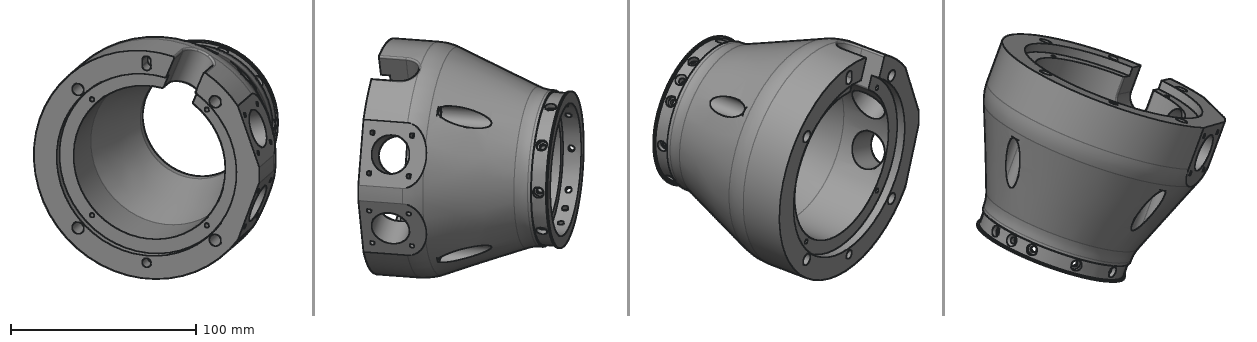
import cadquery as cq
import math

length = 100.0
base_radius = 64.0
cylinder_length = 30.0
neck_radius = 42.5
neck_start = 85.0
base_blend_radius = 30.0
neck_blend_radius = 20.0

groove_radius = 41.5
groove_start = 90.7
groove_end = 99.0

recess_radius = 51.0
recess_depth = 5.0
bore_radius = 43.0
bore_end = 35.0
throat_radius = 31.0
rear_recess_radius = 36.0
rear_recess_depth = 10.0

bolt_circle_radius = 55.0
bolt_hole_diameter = 6.6
bolt_head_diameter = 11.0
bolt_head_seat = 39.0

dowel_diameter = 5.0
dowel_depth = 10.0
dowel_hole_z = -55.0
dowel_slot_z = 57.0
dowel_slot_length = 8.0

tap_diameter = 2.5
tap_depth = 8.0
drill_point_angle = 118.0
recess_tap_circle_radius = 46.0

notch_angle = 67.5
notch_width = 18.0
notch_arc_centre_y = 15.0
notch_rim_radius = 1.0

flat_angles = (20.0, -20.0)
flat_distance = 61.5
socket_diameter = 21.0
socket_centre_y = 16.5
socket_tap_spacing = 22.0

neck_screw_y = 94.6
neck_screw_diameter = 3.4
neck_screw_count = 10
neck_head_diameter = 6.0
neck_head_seat_radius = 38.5
countersink_angles = (126.0, 234.0)
countersink_diameter = 6.6
countersink_angle = 90.0

tolerance = 0.001


def radial_frame(angle, radius, y):
    """Plane at a given angle about Y (from +X towards +Z), its normal pointing outwards."""
    outward = (math.cos(math.radians(angle)), 0, math.sin(math.radians(angle)))
    origin = (radius * outward[0], y, radius * outward[2])
    return cq.Plane(origin=origin, xDir=(0, 1, 0), normal=outward)


def distance_from_axis(point):
    return math.hypot(point.x, point.z)


def axial_frame(x, y, z):
    """Plane with its normal along +Y and its local X axis along +Z."""
    return cq.Plane(origin=(x, y, z), xDir=(0, 0, 1), normal=(0, 1, 0))


def cylinder(frame, diameter, height):
    return cq.Workplane(frame).circle(diameter / 2).extrude(height)


def revolve_about_y(profile):
    return profile.close().revolve(360, (0, 0, 0), (0, 1, 0))


def drilled_hole(frame, depth):
    """Tapping hole cut along the frame's normal, ending in a drill point."""
    radius = tap_diameter / 2
    point_length = radius / math.tan(math.radians(drill_point_angle / 2))
    hole = cylinder(frame, tap_diameter, depth)
    point = cq.Solid.makeCone(radius, 0, point_length, frame.origin + frame.zDir * depth, frame.zDir)
    return hole.union(cq.Workplane(point))


def outer_body():
    """Tapered outside with the blends at both ends of the taper."""
    taper = math.atan2(base_radius - neck_radius, neck_start - cylinder_length)
    base_trim = base_blend_radius * math.tan(taper / 2)
    neck_trim = neck_blend_radius * math.tan(taper / 2)

    def base_blend_point(turn):
        x = base_radius - base_blend_radius * (1 - math.cos(turn))
        return x, cylinder_length - base_trim + base_blend_radius * math.sin(turn)

    def neck_blend_point(turn):
        x = neck_radius + neck_blend_radius * (1 - math.cos(turn))
        return x, neck_start + neck_trim - neck_blend_radius * math.sin(turn)

    profile = (
        cq.Workplane("XY")
        .lineTo(base_radius, 0)
        .lineTo(*base_blend_point(0))
        .threePointArc(base_blend_point(taper / 2), base_blend_point(taper))
        .lineTo(*neck_blend_point(taper))
        .threePointArc(neck_blend_point(taper / 2), neck_blend_point(0))
        .lineTo(neck_radius, groove_start)
        .lineTo(groove_radius, groove_start)
        .lineTo(groove_radius, groove_end)
        .lineTo(neck_radius, groove_end)
        .lineTo(neck_radius, length)
        .lineTo(0, length)
    )
    return revolve_about_y(profile)


def bore():
    """Cylindrical bore tapering down to the throat, then opening into the rear recess."""
    profile = (
        cq.Workplane("XY")
        .lineTo(bore_radius, 0)
        .lineTo(bore_radius, bore_end)
        .lineTo(throat_radius, neck_start)
        .lineTo(throat_radius, length - rear_recess_depth)
        .lineTo(rear_recess_radius, length - rear_recess_depth)
        .lineTo(rear_recess_radius, length)
        .lineTo(0, length)
    )
    return revolve_about_y(profile)


def is_notch_rim(edge):
    """True for the edges where the notch walls meet the outside and the bore."""
    middle = radial_frame(notch_angle, 0, 0).toLocalCoords(edge.positionAt(0.5))
    inside_notch = abs(middle.y) < notch_width / 2 + tolerance and middle.z > 0
    on_end_face = middle.x < tolerance
    radius_change = distance_from_axis(edge.startPoint()) - distance_from_axis(edge.endPoint())
    runs_radially = abs(radius_change) > (base_radius - bore_radius) / 2
    return inside_notch and not on_end_face and not runs_radially


def cut_notch(body):
    """Round-ended radial notch with its outer and inner rims rounded."""
    half_width = notch_width / 2
    notch = (
        cq.Workplane(radial_frame(notch_angle, 0, 0))
        .moveTo(0, -half_width)
        .lineTo(notch_arc_centre_y, -half_width)
        .threePointArc((notch_arc_centre_y + half_width, 0), (notch_arc_centre_y, half_width))
        .lineTo(0, half_width)
        .close()
        .extrude(2 * base_radius)
    )
    body = body.cut(notch)
    rim = [edge for edge in body.edges().vals() if is_notch_rim(edge)]
    return body.newObject(rim).fillet(notch_rim_radius)


def recess():
    return cylinder(axial_frame(0, 0, 0), 2 * recess_radius, recess_depth)


def cut_flat(body, angle):
    """Connector flat with its socket opening and four tapped holes."""
    frame = radial_frame(angle, flat_distance, 0)
    body = body.cut(cq.Workplane(frame).rect(2 * length, 2 * base_radius).extrude(base_radius))
    socket_frame = radial_frame(angle, 0, socket_centre_y)
    body = body.cut(cylinder(socket_frame, socket_diameter, base_radius))
    half_spacing = socket_tap_spacing / 2
    face = radial_frame(angle, flat_distance, socket_centre_y)
    for along in (-half_spacing, half_spacing):
        for across in (-half_spacing, half_spacing):
            start = face.toWorldCoords((along, across, 0))
            body = body.cut(drilled_hole(cq.Plane(start, face.xDir, -face.zDir), tap_depth))
    return body


def cut_base_holes(body):
    """Bolt holes and recess tapped holes, four of each on the diagonals."""
    for diagonal in (45, 135, 225, 315):
        angle = math.radians(diagonal)
        cos_angle = math.cos(angle)
        sin_angle = math.sin(angle)
        bolt_x = bolt_circle_radius * cos_angle
        bolt_z = bolt_circle_radius * sin_angle
        tap_x = recess_tap_circle_radius * cos_angle
        tap_z = recess_tap_circle_radius * sin_angle
        body = body.cut(cylinder(axial_frame(bolt_x, 0, bolt_z), bolt_hole_diameter, length))
        body = body.cut(cylinder(axial_frame(bolt_x, bolt_head_seat, bolt_z), bolt_head_diameter, length))
        body = body.cut(drilled_hole(axial_frame(tap_x, recess_depth, tap_z), tap_depth))
    return body


def cut_dowels(body):
    hole = cylinder(axial_frame(0, 0, dowel_hole_z), dowel_diameter, dowel_depth)
    slot = (
        cq.Workplane(axial_frame(0, 0, dowel_slot_z))
        .slot2D(dowel_slot_length, dowel_diameter)
        .extrude(dowel_depth)
    )
    return body.cut(hole).cut(slot)


def cut_neck_screws(body):
    """Counterbored screw holes all around, and two countersunk ones."""
    for index in range(neck_screw_count):
        angle = index * 360 / neck_screw_count
        body = body.cut(cylinder(radial_frame(angle, 0, neck_screw_y), neck_screw_diameter, base_radius))
        seat = radial_frame(angle, neck_head_seat_radius, neck_screw_y)
        body = body.cut(cylinder(seat, neck_head_diameter, base_radius))
    sink_depth = countersink_diameter / 2 / math.tan(math.radians(countersink_angle / 2))
    for angle in countersink_angles:
        body = body.cut(cylinder(radial_frame(angle, 0, neck_screw_y), neck_screw_diameter, base_radius))
        surface = radial_frame(angle, groove_radius, neck_screw_y)
        sink = cq.Solid.makeCone(countersink_diameter / 2, 0, sink_depth, surface.origin, -surface.zDir)
        body = body.cut(cq.Workplane(sink))
    return body


housing = outer_body().cut(bore())
housing = cut_notch(housing)
housing = housing.cut(recess())
for flat_angle in flat_angles:
    housing = cut_flat(housing, flat_angle)
housing = cut_base_holes(housing)
housing = cut_dowels(housing)
housing = cut_neck_screws(housing)
result = housing.solids()